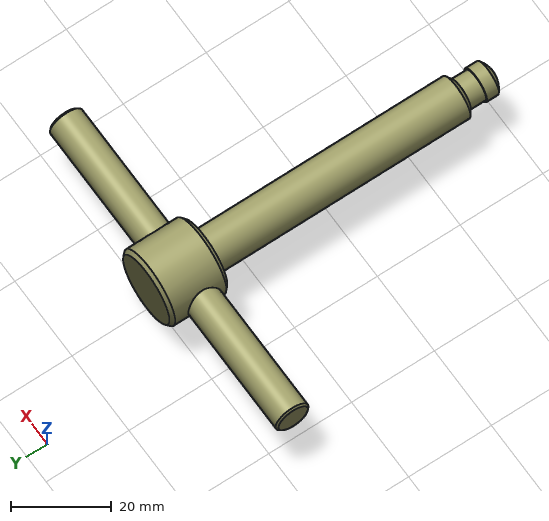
import cadquery as cq
import math

total_length = 84.0

head_diameter = 18.0
head_length = 14.0
head_chamfer = 0.8

bar_diameter = 8.0
bar_length = 80.0
bar_chamfer = 0.4
bar_setback = 8.0

shaft_diameter = 10.0
shaft_cone_length = 1.0

neck_diameter = 7.2
neck_length = 3.7
tip_diameter = 8.0
tip_rim_length = 2.85
dome_height = 1.5

back_y = bar_setback
head_front_y = back_y - head_length
tip_y = back_y - total_length
rim_front_y = tip_y + dome_height
rim_back_y = rim_front_y + tip_rim_length
shaft_end_y = rim_back_y + neck_length


def make_head():
    head = cq.Workplane("XZ", origin=(0, back_y, 0)).circle(head_diameter / 2).extrude(head_length)
    return head.edges().chamfer(head_chamfer)


def make_bar():
    bar = cq.Workplane("YZ").circle(bar_diameter / 2).extrude(bar_length / 2, both=True)
    return bar.faces("<X or >X").chamfer(bar_chamfer)


def make_screw():
    """Revolve the shaft, neck and domed tip about the Y axis."""
    shaft_radius = shaft_diameter / 2
    neck_radius = neck_diameter / 2
    tip_radius = tip_diameter / 2
    dome_radius = (tip_radius**2 + dome_height**2) / (2 * dome_height)
    half_angle = math.asin(tip_radius / dome_radius) / 2
    dome_mid = (
        dome_radius * math.sin(half_angle),
        tip_y + dome_radius * (1 - math.cos(half_angle)),
    )
    return (
        cq.Workplane("XY")
        .moveTo(0, head_front_y)
        .lineTo(shaft_radius, head_front_y)
        .lineTo(shaft_radius, shaft_end_y + shaft_cone_length)
        .lineTo(neck_radius, shaft_end_y)
        .lineTo(neck_radius, rim_back_y)
        .lineTo(tip_radius, rim_back_y)
        .lineTo(tip_radius, rim_front_y)
        .threePointArc(dome_mid, (0, tip_y))
        .close()
        .revolve(360, (0, 0, 0), (0, 1, 0))
    )


result = make_head().union(make_bar()).union(make_screw())